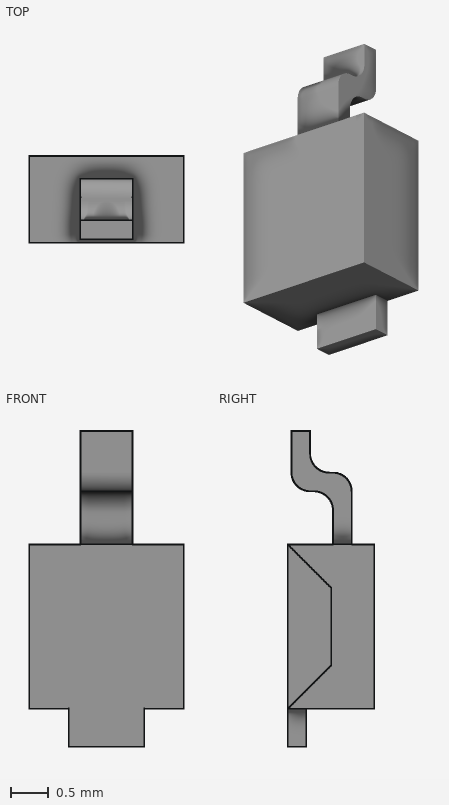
import cadquery as cq


package_width = 2.05
package_depth = 1.15
package_height = 2.18
mount_y = -package_depth / 2
package_top = package_height / 2
package_bottom = -package_height / 2

metal_thickness = 0.25

base_depth = package_depth / 2
base_inner_half_height = package_height / 2 - base_depth
tab_width = 1.0
tab_length = 0.5

lead_width = 0.69
lead_height = 1.5
lead_back_y = 0.275
foot_standoff = 0.05
bend_radius = 0.25
shelf_height = 0.7


def make_cathode():
    """Trapezoidal base bar with the tab joined to its lower flank."""
    inner_y = mount_y + base_depth
    base = (
        cq.Workplane("YZ")
        .polyline([
            (mount_y, package_bottom),
            (inner_y, -base_inner_half_height),
            (inner_y, base_inner_half_height),
            (mount_y, package_top),
        ])
        .close()
        .extrude(package_width / 2, both=True)
    )
    tab_back_y = mount_y + metal_thickness
    tab_end = package_bottom - tab_length
    tab = (
        cq.Workplane("YZ")
        .polyline([
            (mount_y, package_bottom),
            (tab_back_y, package_bottom + metal_thickness),
            (tab_back_y, tab_end),
            (mount_y, tab_end),
        ])
        .close()
        .extrude(tab_width / 2, both=True)
    )
    return base.union(tab, clean=False).solids()


def make_housing(cathode):
    """Package block with a matching recess for the cathode."""
    block = cq.Workplane("XY").box(package_width, package_depth, package_height)
    return block.cut(cathode).solids()


def make_anode_lead():
    """S-bent strip standing on the +Z face of the housing."""
    leg_back = lead_back_y
    leg_front = leg_back - metal_thickness
    foot_front = mount_y + foot_standoff
    foot_back = foot_front + metal_thickness
    lead_top = package_top + lead_height
    shelf_bottom = package_top + shelf_height
    shelf_top = shelf_bottom + metal_thickness
    r = bend_radius
    return (
        cq.Workplane("YZ")
        .moveTo(leg_back, package_top)
        .lineTo(leg_back, shelf_top - r)
        .tangentArcPoint((leg_back - r, shelf_top), relative=False)
        .lineTo(foot_back + r, shelf_top)
        .tangentArcPoint((foot_back, shelf_top + r), relative=False)
        .lineTo(foot_back, lead_top)
        .lineTo(foot_front, lead_top)
        .lineTo(foot_front, shelf_bottom + r)
        .tangentArcPoint((foot_front + r, shelf_bottom), relative=False)
        .lineTo(leg_front - r, shelf_bottom)
        .tangentArcPoint((leg_front, shelf_bottom - r), relative=False)
        .lineTo(leg_front, package_top)
        .close()
        .extrude(lead_width / 2, both=True)
        .solids()
    )


cathode = make_cathode()
housing = make_housing(cathode)
anode_lead = make_anode_lead()

result = cq.Compound.makeCompound([housing.val(), cathode.val(), anode_lead.val()])